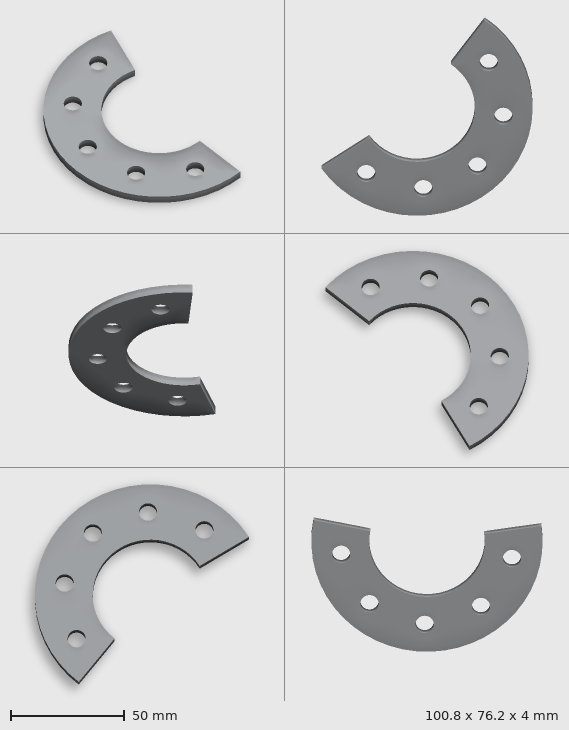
import cadquery as cq
import math

overall_length = 100.8
thickness = 4.0
start_angle = 150.0
sweep_angle = 200.0
end_angle = start_angle + sweep_angle
middle_angle = start_angle + sweep_angle / 2

outer_radius = overall_length / (1 + math.cos(math.radians(end_angle)))
inner_radius = outer_radius / 2

hole_diameter = 8.0
hole_count = 5
hole_circle_radius = (outer_radius + inner_radius) / 2
hole_pitch = sweep_angle / hole_count


def polar(radius, angle):
    """Point at a radius and an angle in degrees about the ring centre."""
    radians = math.radians(angle)
    return (radius * math.cos(radians), radius * math.sin(radians))


sector = (
    cq.Workplane("XY")
    .moveTo(*polar(outer_radius, start_angle))
    .threePointArc(polar(outer_radius, middle_angle), polar(outer_radius, end_angle))
    .lineTo(*polar(inner_radius, end_angle))
    .threePointArc(polar(inner_radius, middle_angle), polar(inner_radius, start_angle))
    .close()
    .extrude(thickness)
)

hole_centres = [
    polar(hole_circle_radius, start_angle + (index + 0.5) * hole_pitch)
    for index in range(hole_count)
]
holes = (
    cq.Workplane("XY")
    .pushPoints(hole_centres)
    .circle(hole_diameter / 2)
    .extrude(thickness)
)

result = sector.cut(holes)